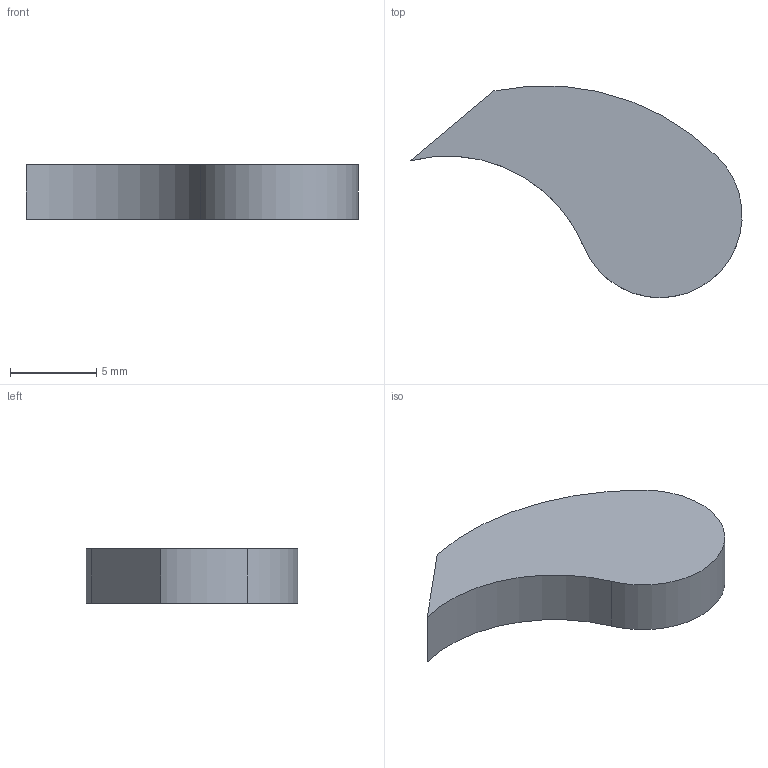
import cadquery as cq
import math

thickness = 3.175
head_radius = 4.7625
overall_length = 19.25

tail_tip = cq.Vector(head_radius - overall_length, 3.175)
tail_shoulder = cq.Vector(-9.62, 7.22)

outer_touch_angle = 45.0
inner_touch_angle = 202.6


def head_point(angle):
    """Point on the head circle at an angle in degrees from +X."""
    radians = math.radians(angle)
    return cq.Vector(head_radius * math.cos(radians), head_radius * math.sin(radians))


def tail_arc(touch_angle, end):
    """Arc that leaves the head tangentially and runs to one end of the tail."""
    touch = head_point(touch_angle)
    counterclockwise_tangent = head_point(touch_angle + 90) / head_radius
    toward_end = math.copysign(1, counterclockwise_tangent.dot(end - touch))
    return cq.Edge.makeTangentArc(touch, counterclockwise_tangent * toward_end, end)


def teardrop_outline():
    """Closed outline of the head, the two tail arcs and the slanted end."""
    far_side_angle = (outer_touch_angle + inner_touch_angle) / 2 + 180
    head_arc = cq.Edge.makeThreePointArc(
        head_point(inner_touch_angle),
        head_point(far_side_angle),
        head_point(outer_touch_angle),
    )
    outer_arc = tail_arc(outer_touch_angle, tail_shoulder)
    slanted_end = cq.Edge.makeLine(tail_shoulder, tail_tip)
    inner_arc = tail_arc(inner_touch_angle, tail_tip)
    return cq.Wire.assembleEdges([head_arc, outer_arc, slanted_end, inner_arc])


result = cq.Workplane("XY").add(teardrop_outline()).toPending().extrude(thickness)